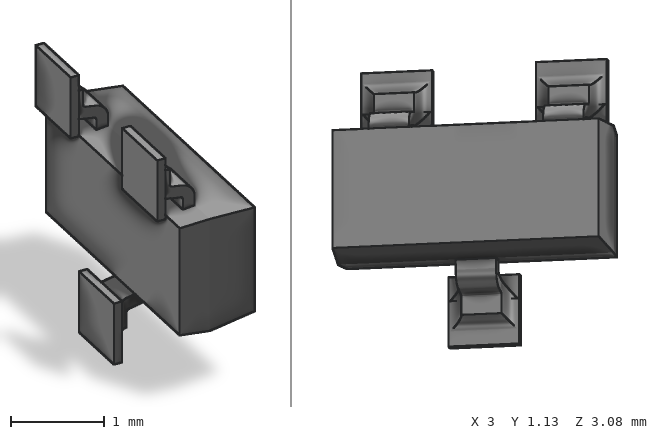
import cadquery as cq
import math


BODY_LENGTH = 3.0
BODY_WIDTH = 1.395
BACK_HEIGHT = 0.58
FRONT_HEIGHT = 0.35
DRAFT_ANGLE = 5.0

LEAD_WIDTH = 0.44
LEAD_THICKNESS = 0.145
LEAD_DROP = 0.45
LEAD_PITCH = 0.95
INNER_BEND_RADIUS = 0.035
SHANK_TILT = 10.0
FIRST_BEND_Z = 0.81
FOOT_TIP_Z = 1.233
LEAD_EMBED = 0.3

PAD_SIZE_X = 0.77
PAD_SIZE_Z = 0.76
PAD_THICKNESS = 0.1
PAD_END_Z = 1.54
CLOSE_PAD_END_Z = 1.50

OUTER_BEND_RADIUS = INNER_BEND_RADIUS + LEAD_THICKNESS
SOLDER_RADIUS = LEAD_THICKNESS


def make_body_half(direction, height):
    """One tapered half of the body, from the parting plane toward +Y (1) or -Y (-1)."""
    plane = cq.Plane(origin=(0, LEAD_DROP, 0), xDir=(1, 0, 0), normal=(0, direction, 0))
    return cq.Workplane(plane).rect(BODY_LENGTH, BODY_WIDTH).extrude(height, taper=DRAFT_ANGLE)


def polar(center, radius, angle):
    """Point on a circle, with the angle in degrees."""
    radians = math.radians(angle)
    return (center[0] + radius * math.cos(radians), center[1] + radius * math.sin(radians))


def make_lead_profile():
    """Side outline (y, z) of a lead with its tip fillet, extruded to the full solder width."""
    tilt = math.radians(SHANK_TILT)
    first_center = (LEAD_DROP - OUTER_BEND_RADIUS, FIRST_BEND_Z)
    y_step = OUTER_BEND_RADIUS - first_center[0]
    z_step = (OUTER_BEND_RADIUS + INNER_BEND_RADIUS - y_step * math.sin(tilt)) / math.cos(tilt)
    second_center = (OUTER_BEND_RADIUS, FIRST_BEND_Z + z_step)
    tip_center = (LEAD_THICKNESS, FOOT_TIP_Z + SOLDER_RADIUS)

    first_end = 90 - SHANK_TILT
    first_middle = first_end / 2
    second_start = first_end + 180
    second_middle = (second_start + 180) / 2
    root_z = BODY_WIDTH / 2 - LEAD_EMBED

    return (
        cq.Workplane("YZ")
        .moveTo(LEAD_DROP, root_z)
        .lineTo(*polar(first_center, OUTER_BEND_RADIUS, 0))
        .threePointArc(
            polar(first_center, OUTER_BEND_RADIUS, first_middle),
            polar(first_center, OUTER_BEND_RADIUS, first_end),
        )
        .lineTo(*polar(second_center, INNER_BEND_RADIUS, second_start))
        .threePointArc(
            polar(second_center, INNER_BEND_RADIUS, second_middle),
            polar(second_center, INNER_BEND_RADIUS, 180),
        )
        .lineTo(*polar(tip_center, SOLDER_RADIUS, 270))
        .threePointArc(polar(tip_center, SOLDER_RADIUS, 225), polar(tip_center, SOLDER_RADIUS, 180))
        .lineTo(*polar(second_center, OUTER_BEND_RADIUS, 180))
        .threePointArc(
            polar(second_center, OUTER_BEND_RADIUS, second_middle),
            polar(second_center, OUTER_BEND_RADIUS, second_start),
        )
        .lineTo(*polar(first_center, INNER_BEND_RADIUS, first_end))
        .threePointArc(
            polar(first_center, INNER_BEND_RADIUS, first_middle),
            polar(first_center, INNER_BEND_RADIUS, 0),
        )
        .lineTo(LEAD_DROP - LEAD_THICKNESS, root_z)
        .close()
        .extrude(LEAD_WIDTH / 2 + SOLDER_RADIUS, both=True)
    )


def make_width_profile():
    """Outline (x, y) of the lead width, flaring in concave arcs down to the seating plane."""
    half_width = LEAD_WIDTH / 2
    right_center = (half_width + SOLDER_RADIUS, SOLDER_RADIUS)
    left_center = (-right_center[0], SOLDER_RADIUS)
    return (
        cq.Workplane("XY")
        .moveTo(-half_width, LEAD_DROP)
        .lineTo(half_width, LEAD_DROP)
        .lineTo(half_width, SOLDER_RADIUS)
        .threePointArc(polar(right_center, SOLDER_RADIUS, 225), polar(right_center, SOLDER_RADIUS, 270))
        .lineTo(*polar(left_center, SOLDER_RADIUS, 270))
        .threePointArc(polar(left_center, SOLDER_RADIUS, 315), polar(left_center, SOLDER_RADIUS, 0))
        .close()
        .extrude(PAD_END_Z)
    )


def make_pad(end_z):
    """Flat pad under a foot, with its outer edge at end_z."""
    pad_center = (0, -PAD_THICKNESS / 2, end_z - PAD_SIZE_Z / 2)
    return cq.Workplane("XY").box(PAD_SIZE_X, PAD_THICKNESS, PAD_SIZE_Z).translate(pad_center)


def make_lead_on_pad(pad_end_z):
    """Soldered lead and pad on the +Z side of the body, centred on X = 0."""
    lead = make_lead_profile().intersect(make_width_profile())
    return lead.union(make_pad(pad_end_z))


def make_part():
    part = make_body_half(1, BACK_HEIGHT).union(make_body_half(-1, FRONT_HEIGHT))
    part = part.union(make_lead_on_pad(PAD_END_Z).translate((-LEAD_PITCH, 0, 0)))
    part = part.union(make_lead_on_pad(CLOSE_PAD_END_Z).translate((LEAD_PITCH, 0, 0)))
    return part.union(make_lead_on_pad(PAD_END_Z).mirror("XY"))


result = make_part()